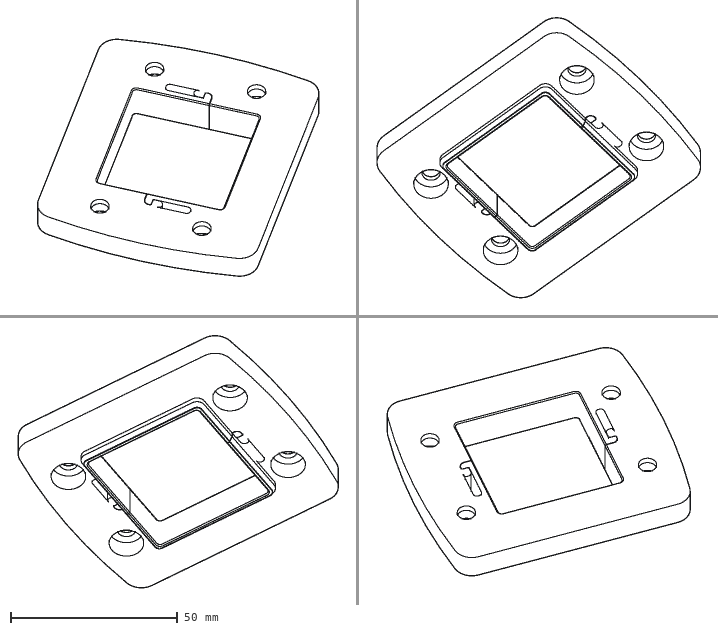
import cadquery as cq
import math

plate_width = 69.0
plate_length = 80.0
plate_thickness = 8.0
bow_radius = 185.6
corner_radius = 5.8
flat_width = 0.7

collar_side = 43.7
collar_height = 3.5
collar_corner_radius = 2.6
collar_chamfer_height = 1.5
collar_lip_height = 0.3
collar_chamfer_width = 0.9

window_side = 39.7
window_corner_radius = 1.2
rim_chamfer = 0.4

hole_diameter = 5.5
hole_depth = 1.9
counterbore_diameter = 10.4
hole_spacing_x = 32.0
hole_spacing_y = 58.0

gap_left = -10.7
gap_top = 24.5
gap_end_radius = 1.2
finger_top = collar_side / 2
clearance = 0.2
tight_clearance = 0.1
hook_left = 1.4
hook_right = 3.8
hook_top = 24.2
hook_inner_radius = 0.3
hook_outer_radius = 1.6
nub_tip_x = -1.9
nub_root_x = -0.7
nub_tip_drop = 0.8
nub_shoulder_drop = 0.2
nub_corner_radius = 0.3


def bow_y(x):
    """Distance from the X axis to the bowed edge at x."""
    return plate_length / 2 - bow_radius + math.sqrt(bow_radius**2 - x**2)


def make_plate():
    side = plate_width / 2
    corner_y = bow_y(side)
    left_middle = -side / 2
    right_middle = (flat_width + side) / 2
    return (
        cq.Workplane("XY")
        .moveTo(-side, -corner_y)
        .threePointArc((left_middle, -bow_y(left_middle)), (0, -bow_y(0)))
        .lineTo(flat_width, -bow_y(flat_width))
        .threePointArc((right_middle, -bow_y(right_middle)), (side, -corner_y))
        .lineTo(side, corner_y)
        .threePointArc((0, bow_y(0)), (-side, corner_y))
        .close()
        .extrude(plate_thickness)
        .edges("|Z and (<X or >X)")
        .fillet(corner_radius)
    )


def make_collar():
    return (
        cq.Workplane("XY")
        .rect(collar_side, collar_side)
        .extrude(collar_lip_height - collar_height)
        .edges("|Z")
        .fillet(collar_corner_radius)
        .faces("<Z")
        .chamfer(collar_chamfer_height, collar_chamfer_width)
        .faces("<Z")
        .wires()
        .toPending()
        .workplane()
        .extrude(collar_lip_height)
    )


def make_window_rim(end_z, depth):
    """Chamfer cutter, widest at end_z and narrowing to the window over the signed depth."""
    rim_side = window_side + 2 * rim_chamfer
    outline = cq.Sketch().rect(rim_side, rim_side).vertices().fillet(window_corner_radius + rim_chamfer)
    return cq.Workplane("XY", origin=(0, 0, end_z)).placeSketch(outline).extrude(depth, taper=45)


def cut_window(body):
    window = (
        cq.Workplane("XY", origin=(0, 0, -collar_height))
        .rect(window_side, window_side)
        .extrude(collar_height + plate_thickness)
        .edges("|Z")
        .fillet(window_corner_radius)
    )
    top_rim = make_window_rim(plate_thickness, -rim_chamfer)
    bottom_rim = make_window_rim(-collar_height, rim_chamfer)
    return body.cut(window).cut(top_rim).cut(bottom_rim)


def cut_screw_holes(body):
    """Screw holes counterbored from the underside of the plate."""
    return (
        body.copyWorkplane(cq.Workplane("XY").transformed(rotate=(180, 0, 0)))
        .rect(hole_spacing_x, hole_spacing_y, forConstruction=True)
        .vertices()
        .cboreHole(hole_diameter, counterbore_diameter, plate_thickness - hole_depth, plate_thickness)
    )


def make_latch_gap():
    """Gap that frees a spring finger whose hook grips behind a nub of the plate."""
    start_y = window_side / 2 - window_corner_radius
    socket_right = hook_right + clearance
    socket_left = hook_left - tight_clearance
    socket_top = hook_top + tight_clearance
    socket_outer_radius = hook_outer_radius + clearance
    socket_inner_radius = hook_inner_radius + tight_clearance
    nub_bottom = finger_top + tight_clearance
    nub_tip_y = gap_top - nub_tip_drop
    nub_shoulder = (nub_tip_x + nub_shoulder_drop, gap_top - nub_shoulder_drop)
    path = cq.Workplane("XY", origin=(0, 0, -collar_height)).moveTo(hook_right, start_y)

    path = path.lineTo(hook_right, hook_top - hook_outer_radius)
    path = path.tangentArcPoint((hook_right - hook_outer_radius, hook_top), relative=False)
    path = path.lineTo(hook_left + hook_inner_radius, hook_top)
    path = path.tangentArcPoint((hook_left, hook_top - hook_inner_radius), relative=False)
    path = path.lineTo(hook_left, finger_top)

    path = path.lineTo(gap_left + gap_end_radius, finger_top)
    path = path.tangentArcPoint((gap_left, finger_top + gap_end_radius), relative=False)
    path = path.lineTo(gap_left, gap_top - gap_end_radius)
    path = path.tangentArcPoint((gap_left + gap_end_radius, gap_top), relative=False)

    path = path.lineTo(nub_root_x, gap_top).lineTo(*nub_shoulder)
    path = path.threePointArc((nub_tip_x, nub_tip_y), (nub_root_x, nub_bottom))
    path = path.lineTo(socket_left - nub_corner_radius, nub_bottom)
    path = path.tangentArcPoint((socket_left, nub_bottom + nub_corner_radius), relative=False)

    path = path.lineTo(socket_left, socket_top - socket_inner_radius)
    path = path.tangentArcPoint((socket_left + socket_inner_radius, socket_top), relative=False)
    path = path.lineTo(socket_right - socket_outer_radius, socket_top)
    path = path.tangentArcPoint((socket_right, socket_top - socket_outer_radius), relative=False)
    path = path.lineTo(socket_right, start_y)
    return path.close().extrude(collar_height + plate_thickness)


body = cut_window(make_plate().union(make_collar()))
body = cut_screw_holes(body)

latch_gap = make_latch_gap()
for turn in (0, 180):
    body = body.cut(latch_gap.rotate((0, 0, 0), (0, 0, 1), turn))

result = body